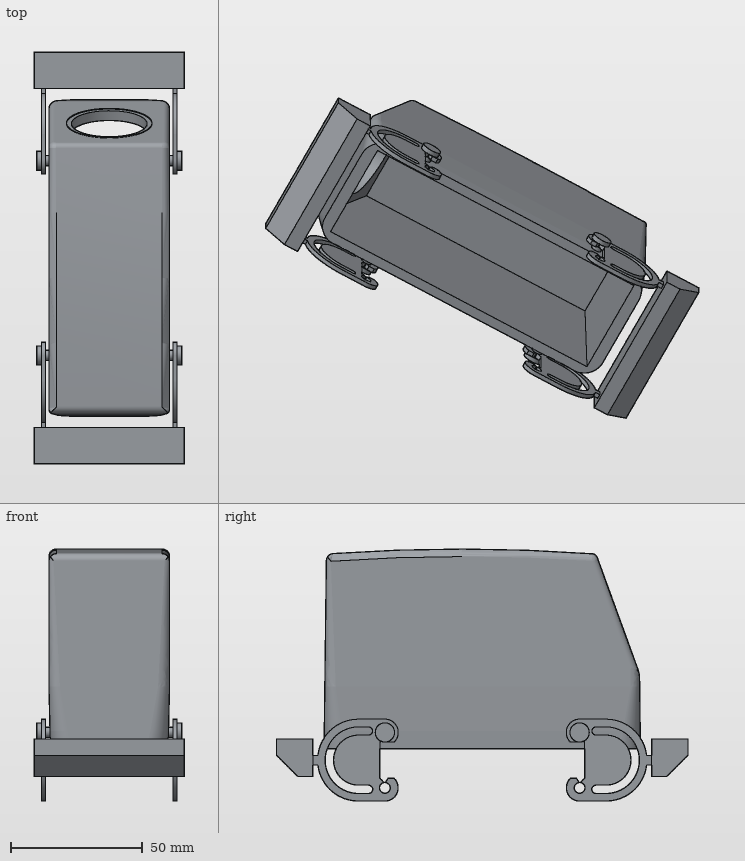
import cadquery as cq
import math

RIM_HALF_LENGTH = 60.0
END_WALL_DRAFT = math.radians(0.7)
BODY_HALF_WIDTH = 22.9
LOWER_CREASE_HALF_WIDTH = 22.5
RIM_HALF_WIDTH = 22.1
WALL = 4.5
LOFT_TOP = 80.0

RIM_Z = 0.0
LOWER_CREASE_Z = 6.8
UPPER_CREASE_Z = 23.6

RIM_FRONT_RADIUS = 8.0
RIM_BACK_RADIUS = 7.5
LOWER_CREASE_FRONT_RADIUS = 6.8
LOWER_CREASE_BACK_RADIUS = 6.5
UPPER_CREASE_FRONT_RADIUS = 4.3
UPPER_CREASE_BACK_RADIUS = 3.4
TOP_FRONT_RADIUS = 1.4
TOP_BACK_RADIUS = 2.2

ROOF_PEAK_Z = 75.8
ROOF_SAG = 1.9

SLOPE_ANGLE = math.radians(20)
SLOPE_FOOT_Z = 28.5
FOOT_BLEND_RADIUS = 12.0
ROOF_FILLET = 2.9
SLOPE_FILLET = 2.3

ENTRY_DIAMETER = 28.7
SPOT_FACE_DIAMETER = 32.4
SPOT_FACE_DEPTH = 0.3
ENTRY_Z = 51.7

LEVER_INNER_X = 24.1
LEVER_THICKNESS = 1.65
LEVER_OUTER_X = LEVER_INNER_X + LEVER_THICKNESS
LEVER_MID_Z = -4.25
LEVER_RADIUS = 15.55
LEVER_CENTRE_Y = 46.9
LEVER_EDGE_Y = 38.8

PIN_Y = 36.9
PIN_OFFSET_Z = 10.5
PIN_DIAMETER = 4.0
PIN_HEAD_DIAMETER = 7.3
PIN_HEAD_THICKNESS = 1.8
HOOK_RADIUS = LEVER_RADIUS - PIN_OFFSET_Z
HOOK_LIP_Z = 3.7
HOOK_MOUTH_TIP = 1.2
HOOK_MOUTH_OVERLAP = 0.2

SLOT_WIDTH = 3.1
SLOT_MID_RADIUS = 11.05
SLOT_END_Y = 43.1

HANDLE_HALF_WIDTH = 28.5
HANDLE_OUTER_Y = 78.0
HANDLE_INNER_Y = 64.2
HANDLE_TOP_Z = 3.8
HANDLE_BOTTOM_Z = -10.5
HANDLE_CHAMFER = 8.1
NECK_HEIGHT = 3.7


def end_wall_y(z):
    """Distance of the drafted end walls from the middle of the hood."""
    return RIM_HALF_LENGTH - z * math.tan(END_WALL_DRAFT)


def slope_y(z):
    """Y of the sloped face at height z."""
    return end_wall_y(SLOPE_FOOT_Z) - (z - SLOPE_FOOT_Z) * math.tan(SLOPE_ANGLE)


def rounded_section(z, half_width, front_radius, back_radius):
    """Horizontal wire with different corner radii at the -Y and +Y ends."""
    half_length = end_wall_y(z)
    diagonal = 1 - math.sqrt(0.5)

    def corner(radius, y_sign):
        return (half_width - diagonal * radius, y_sign * (half_length - diagonal * radius))

    front_x, front_y = corner(front_radius, -1)
    back_x, back_y = corner(back_radius, 1)
    return (
        cq.Workplane("XY", origin=(0, 0, z))
        .moveTo(front_radius - half_width, -half_length)
        .lineTo(half_width - front_radius, -half_length)
        .threePointArc((front_x, front_y), (half_width, front_radius - half_length))
        .lineTo(half_width, half_length - back_radius)
        .threePointArc((back_x, back_y), (half_width - back_radius, half_length))
        .lineTo(back_radius - half_width, half_length)
        .threePointArc((-back_x, back_y), (-half_width, half_length - back_radius))
        .lineTo(-half_width, front_radius - half_length)
        .threePointArc((-front_x, front_y), (front_radius - half_width, -half_length))
        .close()
        .val()
    )


def hood_loft():
    """Drafted walls whose corner rounding grows towards the rim."""
    sections = [
        rounded_section(RIM_Z, RIM_HALF_WIDTH, RIM_FRONT_RADIUS, RIM_BACK_RADIUS),
        rounded_section(
            LOWER_CREASE_Z, LOWER_CREASE_HALF_WIDTH, LOWER_CREASE_FRONT_RADIUS, LOWER_CREASE_BACK_RADIUS
        ),
        rounded_section(
            UPPER_CREASE_Z, BODY_HALF_WIDTH, UPPER_CREASE_FRONT_RADIUS, UPPER_CREASE_BACK_RADIUS
        ),
        rounded_section(LOFT_TOP, BODY_HALF_WIDTH, TOP_FRONT_RADIUS, TOP_BACK_RADIUS),
    ]
    return cq.Workplane(obj=cq.Solid.makeLoft(sections, True))


def hood_envelope():
    """Side profile with the roof arc and sloped face, its long edges rounded."""
    eave_z = ROOF_PEAK_Z - ROOF_SAG
    back_y = slope_y(eave_z)
    front_y = -end_wall_y(eave_z)
    mid_roof_y = (front_y + back_y) / 2
    back_wall_y = end_wall_y(SLOPE_FOOT_Z)
    envelope = (
        cq.Workplane("YZ")
        .moveTo(-end_wall_y(RIM_Z), RIM_Z)
        .lineTo(front_y, eave_z)
        .threePointArc((mid_roof_y, ROOF_PEAK_Z), (back_y, eave_z))
        .lineTo(back_wall_y, SLOPE_FOOT_Z)
        .lineTo(end_wall_y(RIM_Z), RIM_Z)
        .close()
        .extrude(BODY_HALF_WIDTH, both=True)
    )

    def edges_near(*points):
        nearest = [envelope.edges(cq.selectors.NearestToPointSelector(point)).val() for point in points]
        return envelope.newObject(nearest)

    mid_slope_z = (SLOPE_FOOT_Z + eave_z) / 2
    mid_slope_y = slope_y(mid_slope_z)
    sides = (-BODY_HALF_WIDTH, BODY_HALF_WIDTH)
    envelope = edges_near((0, back_wall_y, SLOPE_FOOT_Z)).fillet(FOOT_BLEND_RADIUS)
    roof_sides = [(x, mid_roof_y, ROOF_PEAK_Z) for x in sides]
    envelope = edges_near((0, front_y, eave_z), *roof_sides).fillet(ROOF_FILLET)
    slope_sides = [(x, mid_slope_y, mid_slope_z) for x in sides]
    return edges_near((0, back_y, eave_z), *slope_sides).fillet(SLOPE_FILLET)


def hood_cavity():
    """Interior, open at the rim, about one wall thickness inside the hood."""
    slope_shift = WALL / math.cos(SLOPE_ANGLE)
    ceiling_z = ROOF_PEAK_Z - ROOF_SAG - WALL
    return (
        cq.Workplane("YZ")
        .moveTo(WALL - end_wall_y(RIM_Z), RIM_Z)
        .lineTo(WALL - end_wall_y(ceiling_z), ceiling_z)
        .lineTo(slope_y(ceiling_z) - slope_shift, ceiling_z)
        .lineTo(slope_y(SLOPE_FOOT_Z) - WALL, SLOPE_FOOT_Z)
        .lineTo(end_wall_y(RIM_Z) - WALL, RIM_Z)
        .close()
        .extrude(BODY_HALF_WIDTH - WALL, both=True)
    )


def cable_entry():
    """Bore along the sloped face's normal, with a shallow spot face around its mouth."""
    plane = cq.Plane(
        origin=(0, slope_y(ENTRY_Z), ENTRY_Z),
        xDir=(1, 0, 0),
        normal=(0, math.cos(SLOPE_ANGLE), math.sin(SLOPE_ANGLE)),
    )
    bore = cq.Workplane(plane).circle(ENTRY_DIAMETER / 2).extrude(-2 * WALL)
    spot_face = cq.Workplane(plane).circle(SPOT_FACE_DIAMETER / 2).extrude(-SPOT_FACE_DEPTH)
    return bore.union(spot_face)


def lever_slab(outline):
    """Give an outline in the YZ plane the lever's thickness and place."""
    return outline.extrude(LEVER_THICKNESS).translate((LEVER_INNER_X, 0, 0))


def c_slot():
    """Slot following the round of the lever, with two straight round-ended legs."""
    half = SLOT_WIDTH / 2
    outer = SLOT_MID_RADIUS + half
    inner = SLOT_MID_RADIUS - half
    return lever_slab(
        cq.Workplane("YZ", origin=(0, 0, LEVER_MID_Z))
        .moveTo(SLOT_END_Y, outer)
        .lineTo(LEVER_CENTRE_Y, outer)
        .threePointArc((LEVER_CENTRE_Y + outer, 0), (LEVER_CENTRE_Y, -outer))
        .lineTo(SLOT_END_Y, -outer)
        .threePointArc((SLOT_END_Y - half, -SLOT_MID_RADIUS), (SLOT_END_Y, -inner))
        .lineTo(LEVER_CENTRE_Y, -inner)
        .threePointArc((LEVER_CENTRE_Y + inner, 0), (LEVER_CENTRE_Y, inner))
        .lineTo(SLOT_END_Y, inner)
        .threePointArc((SLOT_END_Y - half, SLOT_MID_RADIUS), (SLOT_END_Y, outer))
        .close()
    )


def hook_end(side):
    """Rounded end of the lever; side is 1 at the pin and -1 at the open hook."""
    centre_z = LEVER_MID_Z + side * PIN_OFFSET_Z
    disc = lever_slab(cq.Workplane("YZ").center(PIN_Y, centre_z).circle(HOOK_RADIUS))
    lip_z = centre_z - side * HOOK_LIP_Z
    beyond_z = centre_z - side * 2 * HOOK_RADIUS
    inner_y = PIN_Y - 2 * HOOK_RADIUS
    above_lip = lever_slab(
        cq.Workplane("YZ")
        .moveTo(inner_y, lip_z)
        .lineTo(LEVER_EDGE_Y, lip_z)
        .lineTo(LEVER_EDGE_Y, beyond_z)
        .lineTo(inner_y, beyond_z)
        .close()
    )
    return disc.cut(above_lip)


def hook_mouth(side):
    """V-shaped mouth leading into the hole of a hook."""
    centre_z = LEVER_MID_Z + side * PIN_OFFSET_Z
    apex_z = centre_z - side * (PIN_DIAMETER / 2 - HOOK_MOUTH_OVERLAP)
    lip_z = centre_z - side * HOOK_LIP_Z
    return lever_slab(
        cq.Workplane("YZ")
        .moveTo(PIN_Y, apex_z)
        .lineTo(LEVER_EDGE_Y, lip_z)
        .lineTo(PIN_Y - HOOK_MOUTH_TIP, lip_z)
        .close()
    )


def lever_plate():
    """One side plate of the +Y lever, on the +X side."""
    top_z = LEVER_MID_Z + LEVER_RADIUS
    bottom_z = LEVER_MID_Z - LEVER_RADIUS
    plate = lever_slab(
        cq.Workplane("YZ")
        .moveTo(LEVER_EDGE_Y, bottom_z)
        .lineTo(LEVER_EDGE_Y, top_z)
        .lineTo(LEVER_CENTRE_Y, top_z)
        .threePointArc((LEVER_CENTRE_Y + LEVER_RADIUS, LEVER_MID_Z), (LEVER_CENTRE_Y, bottom_z))
        .close()
    )
    arm_z = PIN_OFFSET_Z + HOOK_RADIUS / 2
    for side in (1, -1):
        arm = lever_slab(
            cq.Workplane("YZ")
            .center((PIN_Y + LEVER_EDGE_Y) / 2, LEVER_MID_Z + side * arm_z)
            .rect(LEVER_EDGE_Y - PIN_Y, HOOK_RADIUS)
        )
        hole = lever_slab(
            cq.Workplane("YZ")
            .center(PIN_Y, LEVER_MID_Z + side * PIN_OFFSET_Z)
            .circle(PIN_DIAMETER / 2)
        )
        plate = plate.union(arm).union(hook_end(side)).cut(hole).cut(hook_mouth(side))
    neck_start_y = LEVER_CENTRE_Y + LEVER_RADIUS - SLOT_WIDTH / 2
    neck = lever_slab(
        cq.Workplane("YZ")
        .center((neck_start_y + HANDLE_INNER_Y) / 2, LEVER_MID_Z)
        .rect(HANDLE_INNER_Y - neck_start_y, NECK_HEIGHT)
    )
    return plate.cut(c_slot()).union(neck)


def pivot_pin():
    """Headed pin from inside the hood wall through the lever."""
    root_x = BODY_HALF_WIDTH - WALL / 2
    centre = (PIN_Y, LEVER_MID_Z + PIN_OFFSET_Z)
    shank = (
        cq.Workplane("YZ", origin=(root_x, 0, 0))
        .center(*centre)
        .circle(PIN_DIAMETER / 2)
        .extrude(LEVER_OUTER_X - root_x)
    )
    head = (
        cq.Workplane("YZ", origin=(LEVER_OUTER_X, 0, 0))
        .center(*centre)
        .circle(PIN_HEAD_DIAMETER / 2)
        .extrude(PIN_HEAD_THICKNESS)
    )
    return shank.union(head)


def handle():
    """Bar across the +Y end, chamfered along its lower outer edge."""
    return (
        cq.Workplane("YZ")
        .moveTo(HANDLE_INNER_Y, HANDLE_TOP_Z)
        .lineTo(HANDLE_OUTER_Y, HANDLE_TOP_Z)
        .lineTo(HANDLE_OUTER_Y, HANDLE_BOTTOM_Z + HANDLE_CHAMFER)
        .lineTo(HANDLE_OUTER_Y - HANDLE_CHAMFER, HANDLE_BOTTOM_Z)
        .lineTo(HANDLE_INNER_Y, HANDLE_BOTTOM_Z)
        .close()
        .extrude(HANDLE_HALF_WIDTH, both=True)
    )


def locking_lever():
    """Complete +Y lever: two plates with their pins, joined by the handle."""
    side_plate = lever_plate().union(pivot_pin())
    return handle().union(side_plate).union(side_plate.mirror("YZ"))


hood = hood_loft().intersect(hood_envelope()).cut(hood_cavity()).cut(cable_entry())
back_lever = locking_lever()
result = hood.union(back_lever).union(back_lever.mirror("XZ"))